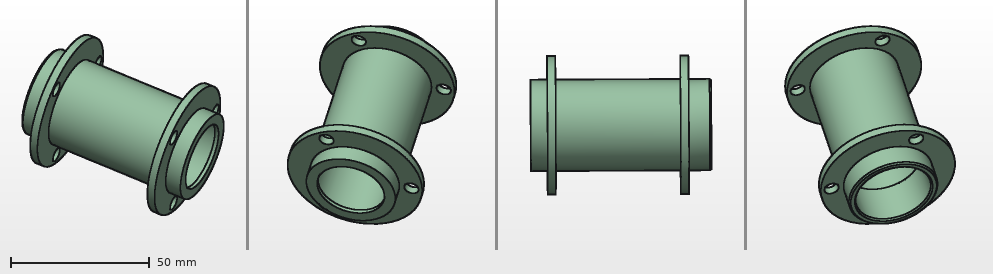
import cadquery as cq

length = 65.0
tube_radius = 16.5
bore_radius = 14.0
relief_radius = 14.5
relief_start = 15.0
end_lip_radius = 12.5
end_lip_thickness = 1.5
chamfer_length = 0.65
chamfer_depth = 0.5

flange_diameter = 50.0
flange_thickness = 3.0
flange_starts = (8.1, 56.0)

hole_count = 3
hole_diameter = 5.3
hole_circle_radius = 21.0


def cylinder(start, thickness, radius):
    """Solid disc along X with its near face at the given X."""
    return cq.Workplane("YZ", origin=(start, 0, 0)).circle(radius).extrude(thickness)


def end_cone(mouth_radius, inner_radius):
    """Truncated cone at the X = 0 end, tapering between two radii."""
    return (
        cq.Workplane("XY")
        .polyline([(0, 0), (0, mouth_radius), (chamfer_length, inner_radius), (chamfer_length, 0)])
        .close()
        .revolve(360, (0, 0, 0), (1, 0, 0))
    )


def flange(start):
    """Disc with evenly spaced bolt holes, the first on the +Y axis."""
    holes = (
        cq.Workplane("YZ", origin=(start, 0, 0))
        .polarArray(hole_circle_radius, 0, 360, hole_count)
        .circle(hole_diameter / 2)
        .extrude(flange_thickness)
    )
    return cylinder(start, flange_thickness, flange_diameter / 2).cut(holes)


body = cylinder(chamfer_length, length - chamfer_length, tube_radius)
body = body.union(end_cone(tube_radius - chamfer_depth, tube_radius))
for flange_start in flange_starts:
    body = body.union(flange(flange_start))

relief_length = length - end_lip_thickness - relief_start
body = body.cut(cylinder(0, relief_start, bore_radius))
body = body.cut(cylinder(relief_start, relief_length, relief_radius))
body = body.cut(end_cone(bore_radius + chamfer_depth, bore_radius))
result = body.cut(cylinder(0, length, end_lip_radius))